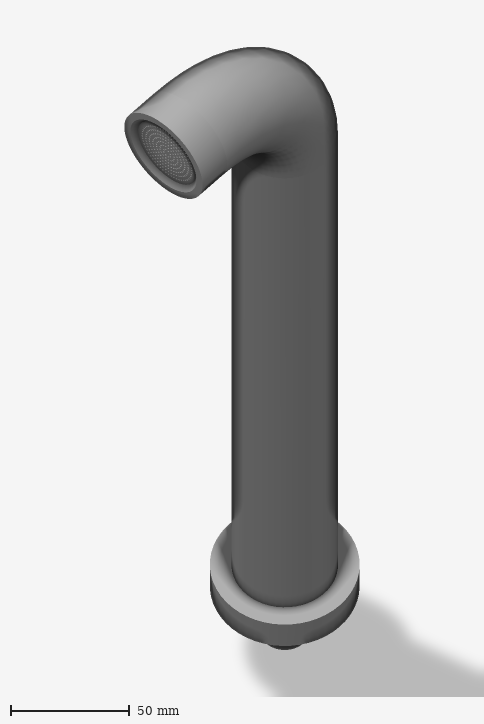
import cadquery as cq
import math

total_height = 431.5
tube_diameter = 45.0
bend_radius = 60.0
bend_angle = 90
outlet_length = 15.0
flange_diameter = 63.0
flange_thickness = 15.0
pin_diameter = 21.0
pin_length = 31.0

mouth_diameter = 38.0
aerator_diameter = 33.2
aerator_depth = 2.0
aerator_thickness = 4.0
hole_diameter = 1.0
ring_pitch = 2.03
ring_count = 7
first_ring_holes = 8

flange_top = pin_length + flange_thickness
outlet_axis_height = total_height - tube_diameter / 2
bend_start = outlet_axis_height - bend_radius
outlet_face = -(bend_radius + outlet_length)
aerator_face = outlet_face + aerator_depth


def outlet_plane(y):
    """Plane across the outlet at the given Y, with its normal pointing into the outlet."""
    return cq.Plane(origin=(0, y, outlet_axis_height), xDir=(1, 0, 0), normal=(0, 1, 0))


def cylinder_up(diameter, bottom, top):
    """Upright cylinder on the Z axis between two heights."""
    return cq.Workplane("XY").workplane(offset=bottom).circle(diameter / 2).extrude(top - bottom)


def make_spout():
    """Inlet pin, flange, tube, bend and outlet as one solid, with the recess for the aerator."""
    pin = cylinder_up(pin_diameter, 0, pin_length)
    flange = cylinder_up(flange_diameter, pin_length, flange_top)
    tube = cylinder_up(tube_diameter, flange_top, bend_start)
    bend = (
        cq.Workplane("XY")
        .workplane(offset=bend_start)
        .circle(tube_diameter / 2)
        .revolve(bend_angle, (0, -bend_radius), (1, -bend_radius))
    )
    outlet = cq.Workplane(outlet_plane(outlet_face)).circle(tube_diameter / 2).extrude(outlet_length)
    mouth = (
        cq.Workplane(outlet_plane(outlet_face))
        .circle(mouth_diameter / 2)
        .workplane(offset=aerator_depth)
        .circle(aerator_diameter / 2)
        .loft(ruled=True)
    )
    seat = cq.Workplane(outlet_plane(aerator_face)).circle(aerator_diameter / 2).extrude(aerator_thickness)
    return pin.union(flange).union(tube).union(bend).union(outlet).cut(mouth).cut(seat)


def hole_centres():
    """Centres on concentric rings, turned half a step so that none lies on an axis."""
    centres = []
    for ring in range(1, ring_count + 1):
        radius = ring * ring_pitch
        hole_count = ring * first_ring_holes
        angle_step = 2 * math.pi / hole_count
        for i in range(hole_count):
            angle = (i + 0.5) * angle_step
            centres.append((radius * math.sin(angle), radius * math.cos(angle)))
    return centres


def make_aerator():
    """Perforated disc that fills the seat behind the tapered mouth."""
    face = outlet_plane(aerator_face)
    disc = cq.Workplane(face).circle(aerator_diameter / 2).extrude(aerator_thickness)
    holes = (
        cq.Workplane(face)
        .pushPoints(hole_centres())
        .circle(hole_diameter / 2)
        .extrude(aerator_thickness)
    )
    return disc.cut(holes)


spout = make_spout()
aerator = make_aerator()

result = cq.Compound.makeCompound([spout.val(), aerator.val()])